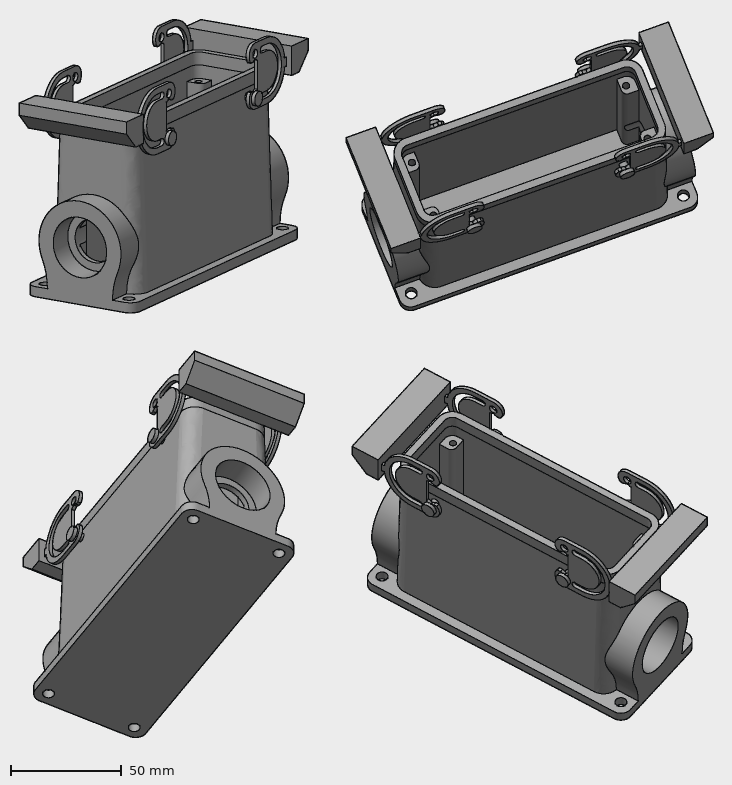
import cadquery as cq
import math

base_width = 57.5
base_length = 143.8
base_height = 4.8
base_corner_radius = 5.3
screw_x = 22.3
screw_y = 65.8
screw_hole_radius = 2.7

tub_width = 48.2
rim_width = 42.7
tub_length = 119.8
tub_corner_radius = 7.6
rim_wall = 3.5
rim_bottom = 78.3
rim_top = 84.4

post_x = 9.5
post_y = 49.0
post_top = 71.9
post_corner_radius = 2.7
post_hole_x = 13.5
post_hole_y = 51.8
post_hole_radius = 1.5
post_hole_depth = 15.6

entry_height = 27.0
entry_radius = 21.8
entry_foot_half_width = 17.3
entry_bore_radius = 14.2
entry_bore_depth = 12.5
entry_hole_radius = 10.3

plate_outer_x = 25.7
plate_thickness = 1.7
ring_y = 46.8
ring_z = rim_top
ring_radius = 15.6
slot_outer_radius = 12.6
slot_width = 3.3
slot_end_y = 41.3
plate_edge_y = 39.0
hook_y = 37.0
hook_offset = 10.5
hook_radius = ring_radius - hook_offset
hook_tip_offset = 6.9
hook_notch_height = 1.1
pin_radius = 2.0
neck_half_height = 2.2

grip_width = 57.1
grip_inner_y = 63.6
grip_outer_y = 78.0
grip_foot_y = 70.0
grip_top = 92.2
grip_shoulder = 86.5
grip_bottom = 78.3

pin_head_radius = 3.5
pin_head_thickness = 1.9
pin_z = ring_z - hook_offset


def rounded_box(width, length, radius, bottom, top):
    box = cq.Workplane("XY").workplane(offset=bottom).rect(width, length).extrude(top - bottom)
    return box.edges("|Z").fillet(radius)


def rounded_outline(width, length, radius):
    return cq.Sketch().rect(width, length).vertices().fillet(radius)


def make_tub():
    """Solid block of the tub, with leaning long sides, up to the underside of the rim frame."""
    foot_outline = rounded_outline(tub_width, tub_length, tub_corner_radius)
    rim_outline = rounded_outline(rim_width, tub_length, tub_corner_radius)
    return (
        cq.Workplane("XY")
        .placeSketch(
            foot_outline.moved(cq.Location(cq.Vector(0, 0, base_height))),
            rim_outline.moved(cq.Location(cq.Vector(0, 0, rim_bottom))),
        )
        .loft(ruled=True)
    )


def inner_block(bottom, top):
    """Upright block that fills the space between the inner walls."""
    width = rim_width - 2 * rim_wall
    length = tub_length - 2 * rim_wall
    return rounded_box(width, length, tub_corner_radius - rim_wall, bottom, top)


def make_cavity():
    """Upright space inside the tub, from the base top to the rim frame, without the corner posts."""
    cavity = inner_block(base_height, rim_bottom)
    for side_x in (1, -1):
        for side_y in (1, -1):
            cavity = cavity.cut(corner_post(side_x, side_y))
    return cavity


def make_base():
    base = rounded_box(base_width, base_length, base_corner_radius, 0, base_height)
    holes = (
        cq.Workplane("XY")
        .rect(2 * screw_x, 2 * screw_y, forConstruction=True)
        .vertices()
        .circle(screw_hole_radius)
        .extrude(base_height)
    )
    return base.cut(holes)


def entry_boss():
    """Round boss standing on a foot; concave arcs join the circle to the foot and end upright on the base."""
    rise = entry_height - base_height
    foot = entry_foot_half_width
    waist_radius = (foot**2 + rise**2 - entry_radius**2) / (2 * (entry_radius - foot))
    waist_angle = math.atan2(rise, foot + waist_radius)
    touch_x = entry_radius * math.cos(waist_angle)
    touch_z = entry_height - entry_radius * math.sin(waist_angle)
    middle_x = foot + waist_radius * (1 - math.cos(waist_angle / 2))
    middle_z = base_height + waist_radius * math.sin(waist_angle / 2)
    return (
        cq.Workplane("XZ", origin=(0, base_length / 2, 0))
        .moveTo(-foot, 0)
        .lineTo(foot, 0)
        .lineTo(foot, base_height)
        .threePointArc((middle_x, middle_z), (touch_x, touch_z))
        .threePointArc((0, entry_height + entry_radius), (-touch_x, touch_z))
        .threePointArc((-middle_x, middle_z), (-foot, base_height))
        .close()
        .extrude(base_length)
    )


def entry_bores():
    """Counterbores in both end faces and the smaller hole that runs through both end walls."""
    face_y = base_length / 2
    hole = (
        cq.Workplane("XZ", origin=(0, face_y, entry_height))
        .circle(entry_hole_radius)
        .extrude(base_length)
    )
    for start_y in (face_y, -face_y + entry_bore_depth):
        bore = (
            cq.Workplane("XZ", origin=(0, start_y, entry_height))
            .circle(entry_bore_radius)
            .extrude(entry_bore_depth)
        )
        hole = hole.union(bore)
    return hole


def corner_post(side_x, side_y):
    """Post that fills one corner of the cavity, with a screw hole in its top."""
    size_x = rim_width - post_x
    size_y = tub_length - post_y
    post = (
        cq.Workplane("XY", origin=(0, 0, base_height))
        .center(side_x * (post_x + size_x / 2), side_y * (post_y + size_y / 2))
        .rect(size_x, size_y)
        .extrude(post_top - base_height)
        .edges("|Z")
        .fillet(post_corner_radius)
    )
    hole = (
        cq.Workplane("XY", origin=(side_x * post_hole_x, side_y * post_hole_y, post_top))
        .circle(post_hole_radius)
        .extrude(-post_hole_depth)
    )
    return post.cut(hole)


def pivot_pin(side_y):
    """Pin of the +X wall: the shank starts inside the wall and ends in a head outside the lever plate."""
    shank_start = rim_width / 2 - rim_wall / 2
    shank = (
        cq.Workplane("YZ", origin=(shank_start, side_y * hook_y, pin_z))
        .circle(pin_radius)
        .extrude(plate_outer_x - shank_start)
    )
    head = (
        cq.Workplane("YZ", origin=(plate_outer_x, side_y * hook_y, pin_z))
        .circle(pin_head_radius)
        .extrude(pin_head_thickness)
    )
    return shank.union(head)


def ring_slot():
    """C-shaped slot with round ends that follows the ring."""
    inner_radius = slot_outer_radius - slot_width
    straight_end_y = slot_end_y + slot_width / 2
    middle_radius = slot_outer_radius - slot_width / 2
    return (
        cq.Workplane("YZ", origin=(plate_outer_x, 0, 0))
        .moveTo(straight_end_y, ring_z + slot_outer_radius)
        .lineTo(ring_y, ring_z + slot_outer_radius)
        .threePointArc((ring_y + slot_outer_radius, ring_z), (ring_y, ring_z - slot_outer_radius))
        .lineTo(straight_end_y, ring_z - slot_outer_radius)
        .threePointArc((slot_end_y, ring_z - middle_radius), (straight_end_y, ring_z - inner_radius))
        .lineTo(ring_y, ring_z - inner_radius)
        .threePointArc((ring_y + inner_radius, ring_z), (ring_y, ring_z + inner_radius))
        .lineTo(straight_end_y, ring_z + inner_radius)
        .threePointArc((slot_end_y, ring_z + middle_radius), (straight_end_y, ring_z + slot_outer_radius))
        .close()
        .extrude(-plate_thickness)
    )


def lever_plate():
    """Plate of the lever on the +X, +Y side, the same above and below the middle of its ring."""
    hook_z = ring_z + hook_offset
    tip_z = ring_z + hook_tip_offset
    tip_y = hook_y - math.sqrt(hook_radius**2 - (hook_z - tip_z) ** 2)
    notch_half_width = plate_edge_y - hook_y
    diagonal = math.sqrt(0.5)
    upper_half = (
        cq.Workplane("YZ", origin=(plate_outer_x, 0, 0))
        .moveTo(plate_edge_y, ring_z)
        .lineTo(plate_edge_y, tip_z)
        .lineTo(hook_y, tip_z + hook_notch_height)
        .lineTo(hook_y - notch_half_width, tip_z)
        .lineTo(tip_y, tip_z)
        .threePointArc(
            (hook_y - hook_radius * diagonal, hook_z + hook_radius * diagonal),
            (hook_y, ring_z + ring_radius),
        )
        .lineTo(ring_y, ring_z + ring_radius)
        .threePointArc(
            (ring_y + ring_radius * diagonal, ring_z + ring_radius * diagonal),
            (ring_y + ring_radius, ring_z),
        )
        .close()
        .extrude(-plate_thickness)
    )
    hook_hole = (
        cq.Workplane("YZ", origin=(plate_outer_x, hook_y, hook_z))
        .circle(pin_radius)
        .extrude(-plate_thickness)
    )
    upper_half = upper_half.cut(hook_hole)
    lower_half = upper_half.mirror("XY", (0, 0, ring_z))
    neck_start = ring_y + slot_outer_radius
    neck = (
        cq.Workplane("XY")
        .box(plate_thickness, grip_inner_y - neck_start, 2 * neck_half_height, centered=(False, False, True))
        .translate((plate_outer_x - plate_thickness, neck_start, ring_z))
    )
    return upper_half.union(lower_half).union(neck).cut(ring_slot())


def make_lever():
    """Lever of the +Y end: a grip with one hooked plate on each side."""
    grip_outline = [
        (grip_inner_y, grip_top),
        (grip_outer_y, grip_top),
        (grip_outer_y, grip_shoulder),
        (grip_foot_y, grip_bottom),
        (grip_inner_y, grip_bottom),
    ]
    grip = cq.Workplane("YZ").polyline(grip_outline).close().extrude(grip_width / 2, both=True)
    plate = lever_plate()
    return grip.union(plate).union(plate.mirror("YZ"))


def make_housing():
    housing = make_base().union(make_tub()).union(entry_boss())
    housing = housing.cut(make_cavity()).cut(entry_bores())
    for side_y in (1, -1):
        pin = pivot_pin(side_y)
        housing = housing.union(pin).union(pin.mirror("YZ"))
    lever = make_lever()
    return housing.union(lever).union(lever.mirror("XZ"))


def make_rim_frame():
    frame = rounded_box(rim_width, tub_length, tub_corner_radius, rim_bottom, rim_top)
    return frame.cut(inner_block(rim_bottom, rim_top))


housing = make_housing()
rim_frame = make_rim_frame()

result = cq.Compound.makeCompound([housing.val(), rim_frame.val()])